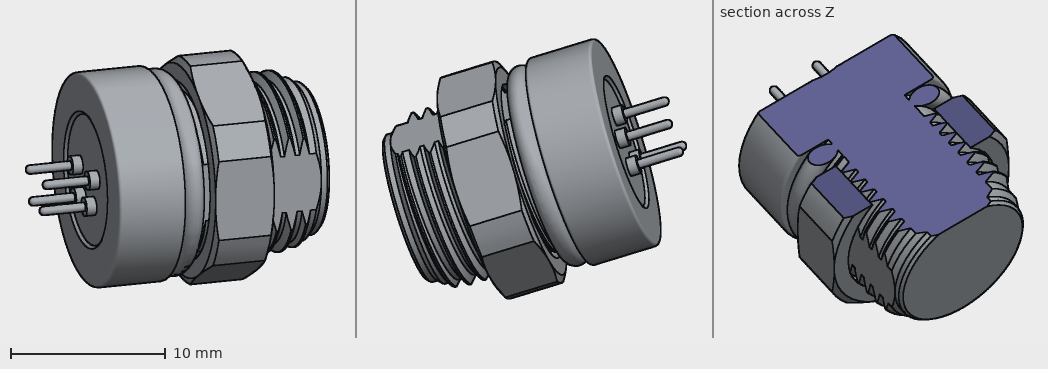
import cadquery as cq
import math


flange_diameter = 14.0
flange_length = 4.51
flange_rounding = 0.2
ring_tube_radius = 0.74
ring_outer_radius = 6.75
ring_center_offset = 0.78
core_radius = 5.35
core_end = 14.4
nose_radius = 5.0
nose_end = 15.0
nose_chamfer = 0.2
barrel_flat_width = 2 * nose_radius

recess_radius = 4.48
recess_depth = 0.2
recess_taper = 0.2

thread_radius = 5.88
thread_pitch = 1.0
lead_in_turns = 1
full_turns = 6
run_out_turns = 0.7
thread_crest_width = 0.13
thread_flank_angle = 30
thread_start_y = 6.1
thread_start_angle = 73
thread_root_overlap = 0.1

pin_places = [(1.72, 0.52), (1.07, -1.45)]
pin_radius = 0.3
pin_length = 3.5
collar_radius = 0.61
collar_length = 0.46

nut_across_flats = flange_diameter
nut_corner_radius = 7.5
nut_rear_y = 6.51
nut_thickness = 4.0
nut_chamfer_radial = 0.48
nut_chamfer_axial = 0.22


def cylinder_y(radius, start, end, x=0, z=0):
    """Cylinder parallel to Y, from y = start to y = end."""
    return cq.Workplane("XZ", origin=(x, start, z)).circle(radius).extrude(start - end)


def turned(profile):
    """Solid turned about the Y axis from (radius, y) points."""
    return cq.Workplane("XY").polyline(profile).close().revolve(360, (0, 0, 0), (0, 1, 0))


def flange():
    body = cylinder_y(flange_diameter / 2, 0, flange_length).edges().fillet(flange_rounding)
    recess = turned([
        (0, 0),
        (recess_radius, 0),
        (recess_radius - recess_taper, recess_depth),
        (0, recess_depth),
    ])
    return body.cut(recess)


def sealing_ring():
    center_radius = ring_outer_radius - ring_tube_radius
    return (
        cq.Workplane("XY")
        .center(center_radius, flange_length + ring_center_offset)
        .circle(ring_tube_radius)
        .revolve(360, (-center_radius, 0, 0), (-center_radius, 1, 0))
    )


def thread_ridge(crest_radius, pitch, length, cone_angle=360):
    """Trapezoidal ridge along a helix about Z that starts on the X axis.

    The radius grows with the slope of cone_angle; a cone_angle of 360 keeps it constant.
    """
    depth = thread_radius - core_radius + thread_root_overlap
    half_crest = thread_crest_width / 2
    half_root = half_crest + depth * math.tan(math.radians(thread_flank_angle))
    corners = [
        (crest_radius - depth, -half_root),
        (crest_radius, -half_crest),
        (crest_radius, half_crest),
        (crest_radius - depth, half_root),
    ]
    helices = [
        cq.Wire.makeHelix(pitch, length, radius, cq.Vector(0, 0, height), angle=cone_angle)
        for radius, height in corners
    ]
    sides = [
        cq.Face.makeRuledSurface(helices[i - 1], helices[i])
        for i in range(len(helices))
    ]
    ends = [
        cq.Face.makeFromWires(cq.Wire.makePolygon([helix_end(helix) for helix in helices], close=True))
        for helix_end in (cq.Wire.startPoint, cq.Wire.endPoint)
    ]
    shell = cq.Shell.makeShell([face for side in sides for face in side.Faces()] + ends)
    return cq.Solid.makeSolid(shell)


def sinking_ridge(turns):
    """Ridge on a cone about Z that rises from its sunken end on the X axis to the full radius."""
    sink_per_turn = thread_radius - core_radius
    slope_angle = math.degrees(math.atan2(sink_per_turn, thread_pitch))
    slant_pitch = math.hypot(thread_pitch, sink_per_turn)
    sunken_radius = thread_radius - turns * sink_per_turn
    return thread_ridge(sunken_radius, slant_pitch, turns * slant_pitch, slope_angle)


def thread():
    """Lead-in, full thread and run-out as three ridges that meet end to end."""
    origin = cq.Vector(0, 0, 0)
    x_axis = cq.Vector(1, 0, 0)
    y_axis = cq.Vector(0, 1, 0)
    z_axis = cq.Vector(0, 0, 1)

    full_start = lead_in_turns * thread_pitch
    full_length = full_turns * thread_pitch
    run_out_end = full_start + full_length + run_out_turns * thread_pitch

    lead_in = sinking_ridge(lead_in_turns)
    full = thread_ridge(thread_radius, thread_pitch, full_length).translate(z_axis * full_start)
    run_out = (
        sinking_ridge(run_out_turns)
        .rotate(origin, x_axis, 180)
        .rotate(origin, z_axis, run_out_turns * 360)
        .translate(z_axis * run_out_end)
    )

    return [
        ridge.rotate(origin, x_axis, -90)
        .rotate(origin, y_axis, -thread_start_angle)
        .translate(y_axis * thread_start_y)
        for ridge in (lead_in, full, run_out)
    ]


def barrel():
    """Threaded barrel with a tapered end, side flats and a plain nose ahead of the thread."""
    core = cylinder_y(core_radius, flange_length, core_end)
    for ridge in thread():
        core = core.union(cq.Workplane(ridge))
    envelope_radius = nut_corner_radius
    taper_length = envelope_radius - nose_radius
    tapered_envelope = turned([
        (0, flange_length),
        (envelope_radius, flange_length),
        (envelope_radius, core_end - taper_length),
        (nose_radius, core_end),
        (0, core_end),
    ])
    flats = cq.Workplane("XY").box(barrel_flat_width, 2 * core_end, 2 * envelope_radius)
    nose = cylinder_y(nose_radius, flange_length, nose_end).faces(">Y").chamfer(nose_chamfer)
    return core.intersect(tapered_envelope).intersect(flats).union(nose)


def pin(x, z):
    collar = cylinder_y(collar_radius, -collar_length, recess_depth, x, z)
    straight_end = pin_radius - pin_length
    shaft = cylinder_y(pin_radius, straight_end, recess_depth, x, z)
    tip = cq.Workplane("XY").sphere(pin_radius).translate((x, straight_end, z))
    return collar.union(shaft).union(tip)


def make_housing():
    housing = flange().union(barrel()).union(sealing_ring())
    for x, z in pin_places:
        for side in (-1, 1):
            housing = housing.union(pin(side * x, z))
    return housing


def make_nut():
    """Hexagon nut with flats facing +X and -X, corners turned round and both rims chamfered."""
    nut_front_y = nut_rear_y + nut_thickness
    across_corners = nut_across_flats / math.cos(math.radians(30))
    hexagon = (
        cq.Workplane("XZ", origin=(0, nut_rear_y, 0))
        .polygon(6, across_corners)
        .extrude(-nut_thickness)
        .rotate((0, 0, 0), (0, 1, 0), 30)
    )
    rim_radius = nut_corner_radius - nut_chamfer_radial
    envelope = turned([
        (thread_radius, nut_rear_y),
        (rim_radius, nut_rear_y),
        (nut_corner_radius, nut_rear_y + nut_chamfer_axial),
        (nut_corner_radius, nut_front_y - nut_chamfer_axial),
        (rim_radius, nut_front_y),
        (thread_radius, nut_front_y),
    ])
    return hexagon.intersect(envelope)


housing = make_housing()
nut = make_nut()
result = cq.Compound.makeCompound([housing.val(), nut.val()])